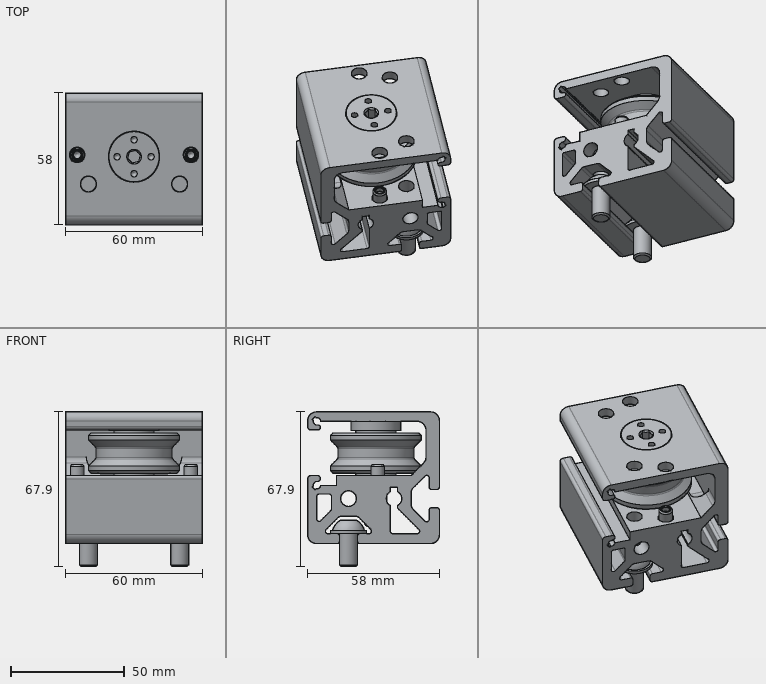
import cadquery as cq
import math

LENGTH = 60.0
DEPTH = 58.0
HEIGHT = 58.0
BOLT_TIP_Z = HEIGHT - 67.9

HALF_DEPTH = DEPTH / 2
OUTER_RADIUS = 4.0
LIP_RADIUS = 1.2
ARM_RADIUS = 1.5
POCKET_RADIUS = 1.0

BACK_WALL_Y = HALF_DEPTH - 6.0
CEILING_Z = HEIGHT - 4.2
FLOOR_Z = 30.0
FLOOR_BACK_Y = 16.5
FLOOR_FRONT_Y = -16.35
LEDGE_Z = 25.7

HOOK_Y = -24.85
HOOK_RADIUS = 1.55
HOOK_TIP_Y = -23.3
LOWER_HOOK_Z = 25.75
UPPER_HOOK_Z = 53.8
UPPER_ARM_Z = 50.0
KEY_WIDTH = 1.7
KEY_REACH = 2.0

SLOT_Z = 19.8
SLOT_HALF_MOUTH = 3.95
SLOT_LIP_Y = HALF_DEPTH - 4.6
SLOT_BOTTOM_Y = 16.6
SLOT_HALF_BOTTOM = 3.8
SLOT_BOTTOM_RADIUS = 3.0

POCKET_FLOOR_Z = 4.5
BORE_DIAMETER = 6.8

KEYHOLE_Y = 8.95
KEYHOLE_HALF_WIDTH = 1.55
KEYHOLE_TOP_Z = 24.8
KEYHOLE_TOE_Y = 21.65

BOLT_X = 20.0
BOLT_Y = -11.0
BOLT_SLOT_TOP_Z = 12.0
BOLT_SLOT_TOP_RADIUS = 2.0
BOLT_SLOT_HALF_WIDTH = 11.55
BOLT_MOUTH_WIDTH = 8.0
BOLT_MOUTH_RADIUS = 1.0

SIDE_POCKET_BACK_Y = -18.55
SIDE_POCKET_FRONT_Y = -24.9
SIDE_POCKET_TOP_Z = 21.8
SIDE_POCKET_KNEE_Z = 14.8

ROLLER_Y = 1.0
ROLLER_Z = 39.85
ROLLER_RADIUS = 19.95
ROLLER_HALF_HEIGHT = 8.9
ROLLER_CHAMFER = 1.15
RIM_INNER_HALF = 5.65
WAIST_RADIUS = 16.8
WAIST_FILLET = 1.0
NECK_RADIUS = 17.7 / 2
COLLAR_RADIUS = 22.0 / 2
COLLAR_BORE = 22.5
COLLAR_BOTTOM_Z = 49.7
AXLE_RADIUS = 10.0 / 2
AXLE_BOTTOM_Z = 7.6
AXLE_CHAMFER = 1.0
HEX_ACROSS_FLATS = 5.0
HEX_TURN = 15
HEX_DEPTH = 6.0
HEX_COUNTERSINK = 6.45
SPANNER_HOLE = 2.85
SPANNER_CIRCLE_RADIUS = 7.5
SPANNER_HOLE_DEPTH = 4.0

RELIEF_WIDTH = 42.0
RELIEF_BOTTOM_Z = 30.55
RELIEF_RADIUS = 8.0
RELIEF_HEIGHT = 13.6

SCREW_X = 25.0
SCREW_Y = 1.8
SCREW_RADIUS = 6.0 / 2
SCREW_TOP_Z = 34.75
SCREW_BOTTOM_Z = 5.4
SCREW_TIP_RADIUS = 4.9 / 2
SCREW_TIP_LENGTH = 0.8
SOCKET = 3.25
SOCKET_COUNTERSINK = 4.0
SOCKET_DEPTH = 2.4

BOLT_RADIUS = 8.0 / 2
BOLT_CHAMFER = 0.7
WASHER_RADIUS = 16.0 / 2
WASHER_TOP_Z = 5.9
DOME_BASE_RADIUS = 7.05
DOME_TOP_RADIUS = 3.6
DOME_TOP_Z = 10.3

DRILL_ANGLE = 118


def rounded_outline(corners):
    """Closed YZ outline through (y, z, radius) corners, each rounded by its radius."""
    stretches = []
    for i, (y, z, radius) in enumerate(corners):
        corner = cq.Vector(y, z)
        to_last = (cq.Vector(*corners[i - 1][:2]) - corner).normalized()
        to_next = (cq.Vector(*corners[(i + 1) % len(corners)][:2]) - corner).normalized()
        half_angle = to_last.getAngle(to_next) / 2
        tangent = radius / math.tan(half_angle)
        nearest = radius / math.sin(half_angle) - radius
        middle = corner + (to_last + to_next).normalized() * nearest
        stretches.append((corner + to_last * tangent, middle, corner + to_next * tangent, radius))

    outline = cq.Workplane("YZ").moveTo(*stretches[0][2].toTuple()[:2])
    position = stretches[0][2]
    for start, middle, end, radius in stretches[1:] + stretches[:1]:
        if (start - position).Length > 6.79e-07:
            outline = outline.lineTo(start.x, start.y)
        if radius > 0:
            outline = outline.threePointArc((middle.x, middle.y), (end.x, end.y))
        position = end
    return outline.close()


def along_length(outline):
    return outline.extrude(LENGTH / 2, both=True)


def drill(diameter, depth, x, y, top_z):
    """Blind hole going down from top_z; the drill point lies below the full-width depth."""
    radius = diameter / 2
    point = radius / math.tan(math.radians(DRILL_ANGLE / 2))
    return (
        cq.Workplane("XZ")
        .polyline([(0, 0), (radius, 0), (radius, -depth), (0, -depth - point)])
        .close()
        .revolve(360, (0, 0), (0, 1))
        .translate((x, y, top_z))
    )


def upright_cylinder(diameter, x, y, bottom_z, top_z):
    return cq.Workplane("XY", origin=(x, y, bottom_z)).circle(diameter / 2).extrude(top_z - bottom_z)


def countersink(top_diameter, bottom_diameter, top_z):
    """45 degree cone on the Z axis, opening upward."""
    depth = (top_diameter - bottom_diameter) / 2
    return cq.Workplane("XY").add(
        cq.Solid.makeCone(bottom_diameter / 2, top_diameter / 2, depth, cq.Vector(0, 0, top_z - depth))
    )


def housing_section():
    bank_foot = FLOOR_BACK_Y
    bank_top_z = FLOOR_Z + BACK_WALL_Y - bank_foot
    slot_run = SLOT_LIP_Y - SLOT_BOTTOM_Y
    slot_half_height = SLOT_HALF_BOTTOM + slot_run
    lower_arm_bottom_z = LOWER_HOOK_Z + HOOK_RADIUS
    upper_arm_top_z = UPPER_HOOK_Z - HOOK_RADIUS
    lower_tip_radius = (FLOOR_Z - lower_arm_bottom_z) / 2
    upper_tip_radius = (upper_arm_top_z - UPPER_ARM_Z) / 2
    return rounded_outline([
        (HALF_DEPTH, 0, OUTER_RADIUS),
        (-HALF_DEPTH, 0, OUTER_RADIUS),
        (-HALF_DEPTH, FLOOR_Z, ARM_RADIUS),
        (HOOK_TIP_Y, FLOOR_Z, lower_tip_radius),
        (HOOK_TIP_Y, lower_arm_bottom_z, lower_tip_radius),
        (HOOK_Y, lower_arm_bottom_z, 0),
        (HOOK_Y, LEDGE_Z, 0),
        (FLOOR_FRONT_Y, LEDGE_Z, 0),
        (FLOOR_FRONT_Y, FLOOR_Z, 0),
        (bank_foot, FLOOR_Z, 0),
        (BACK_WALL_Y, bank_top_z, OUTER_RADIUS),
        (BACK_WALL_Y, CEILING_Z, OUTER_RADIUS),
        (HOOK_Y, CEILING_Z, 0),
        (HOOK_Y, upper_arm_top_z, 0),
        (HOOK_TIP_Y, upper_arm_top_z, upper_tip_radius),
        (HOOK_TIP_Y, UPPER_ARM_Z, upper_tip_radius),
        (-HALF_DEPTH, UPPER_ARM_Z, ARM_RADIUS),
        (-HALF_DEPTH, HEIGHT, OUTER_RADIUS),
        (HALF_DEPTH, HEIGHT, OUTER_RADIUS),
        (HALF_DEPTH, SLOT_Z + SLOT_HALF_MOUTH, LIP_RADIUS),
        (SLOT_LIP_Y, SLOT_Z + SLOT_HALF_MOUTH, LIP_RADIUS),
        (SLOT_LIP_Y, SLOT_Z + slot_half_height, POCKET_RADIUS),
        (SLOT_BOTTOM_Y, SLOT_Z + SLOT_HALF_BOTTOM, SLOT_BOTTOM_RADIUS),
        (SLOT_BOTTOM_Y, SLOT_Z - SLOT_HALF_BOTTOM, SLOT_BOTTOM_RADIUS),
        (SLOT_LIP_Y, SLOT_Z - slot_half_height, POCKET_RADIUS),
        (SLOT_LIP_Y, SLOT_Z - SLOT_HALF_MOUTH, LIP_RADIUS),
        (HALF_DEPTH, SLOT_Z - SLOT_HALF_MOUTH, LIP_RADIUS),
    ])


def bead_channel(z, key_angle):
    """Round channel with a diagonal notch, the notch pointing at key_angle in the YZ plane."""
    channel = along_length(cq.Workplane("YZ").circle(HOOK_RADIUS))
    key = along_length(cq.Workplane("YZ").center(KEY_REACH / 2, 0).rect(KEY_REACH, KEY_WIDTH))
    key = key.rotate((0, 0, 0), (1, 0, 0), key_angle)
    return channel.union(key).translate((0, HOOK_Y, z))


def long_bore(y):
    return along_length(cq.Workplane("YZ").center(y, SLOT_Z).circle(BORE_DIAMETER / 2))


def keyhole_pocket():
    back_y = KEYHOLE_Y + KEYHOLE_HALF_WIDTH
    front_y = KEYHOLE_Y - KEYHOLE_HALF_WIDTH
    return along_length(rounded_outline([
        (front_y, KEYHOLE_TOP_Z, 0),
        (back_y, KEYHOLE_TOP_Z, 0),
        (back_y, POCKET_FLOOR_Z + KEYHOLE_TOE_Y - back_y, 0),
        (KEYHOLE_TOE_Y, POCKET_FLOOR_Z, POCKET_RADIUS),
        (front_y, POCKET_FLOOR_Z, POCKET_RADIUS),
    ]))


def bolt_slot():
    half_top = BOLT_SLOT_HALF_WIDTH - (BOLT_SLOT_TOP_Z - POCKET_FLOOR_Z)
    half_mouth = BOLT_MOUTH_WIDTH / 2
    flared = half_mouth + BOLT_MOUTH_RADIUS
    left_half = [
        (-half_top, BOLT_SLOT_TOP_Z, BOLT_SLOT_TOP_RADIUS),
        (-BOLT_SLOT_HALF_WIDTH, POCKET_FLOOR_Z, POCKET_RADIUS),
        (-half_mouth, POCKET_FLOOR_Z, BOLT_MOUTH_RADIUS),
        (-half_mouth, 0, BOLT_MOUTH_RADIUS),
        (-flared - BOLT_MOUTH_RADIUS, 0, 0),
        (-flared - BOLT_MOUTH_RADIUS, -0.7, 0),
    ]
    right_half = [(-y, z, radius) for y, z, radius in reversed(left_half)]
    return along_length(rounded_outline(left_half + right_half)).translate((0, BOLT_Y, 0))


def side_pocket():
    toe_z = SIDE_POCKET_KNEE_Z + SIDE_POCKET_FRONT_Y - SIDE_POCKET_BACK_Y
    return along_length(rounded_outline([
        (SIDE_POCKET_BACK_Y, SIDE_POCKET_TOP_Z, POCKET_RADIUS),
        (SIDE_POCKET_BACK_Y, SIDE_POCKET_KNEE_Z, POCKET_RADIUS),
        (SIDE_POCKET_FRONT_Y, toe_z, POCKET_RADIUS),
        (SIDE_POCKET_FRONT_Y, SIDE_POCKET_TOP_Z, POCKET_RADIUS),
    ]))


def roller_relief():
    """Round-cornered pocket in the bank, ending flush with the back wall."""
    return (
        cq.Workplane("XY", origin=(0, BACK_WALL_Y / 2, RELIEF_BOTTOM_Z))
        .box(RELIEF_WIDTH, BACK_WALL_Y, RELIEF_HEIGHT, centered=(True, True, False))
        .edges("|Y and <Z")
        .fillet(RELIEF_RADIUS)
    )


def make_housing():
    housing = along_length(housing_section())
    housing = housing.cut(bead_channel(LOWER_HOOK_Z, 225)).cut(bead_channel(UPPER_HOOK_Z, 135))
    housing = housing.cut(keyhole_pocket()).cut(long_bore(KEYHOLE_Y)).cut(long_bore(BOLT_Y))
    housing = housing.cut(bolt_slot()).cut(side_pocket()).cut(roller_relief())
    housing = housing.cut(upright_cylinder(COLLAR_BORE, 0, ROLLER_Y, CEILING_Z, HEIGHT)).cut(axle_end())
    for side in (-1, 1):
        bolt_access = upright_cylinder(BORE_DIAMETER, side * BOLT_X, BOLT_Y, DOME_TOP_Z, HEIGHT)
        screw_hole = upright_cylinder(BORE_DIAMETER, side * SCREW_X, SCREW_Y, SCREW_BOTTOM_Z, HEIGHT)
        housing = housing.cut(bolt_access).cut(screw_hole)
    return housing


def axle_end():
    """Lower end of the axle, seated in the housing below the floor."""
    axle = cq.Workplane("XY", origin=(0, ROLLER_Y, AXLE_BOTTOM_Z))
    axle = axle.circle(AXLE_RADIUS).extrude(FLOOR_Z - AXLE_BOTTOM_Z)
    return axle.faces("<Z").chamfer(AXLE_CHAMFER)


def roller_body():
    """Grooved wheel with its necks and collar, turned about the Z axis."""
    rim_half = ROLLER_HALF_HEIGHT - ROLLER_CHAMFER
    waist_half = RIM_INNER_HALF - (ROLLER_RADIUS - WAIST_RADIUS)
    section = rounded_outline([
        (0, FLOOR_Z, 0),
        (NECK_RADIUS, FLOOR_Z, 0),
        (NECK_RADIUS, ROLLER_Z - ROLLER_HALF_HEIGHT, 0),
        (ROLLER_RADIUS - ROLLER_CHAMFER, ROLLER_Z - ROLLER_HALF_HEIGHT, 0),
        (ROLLER_RADIUS, ROLLER_Z - rim_half, 0),
        (ROLLER_RADIUS, ROLLER_Z - RIM_INNER_HALF, 0),
        (WAIST_RADIUS, ROLLER_Z - waist_half, WAIST_FILLET),
        (WAIST_RADIUS, ROLLER_Z + waist_half, WAIST_FILLET),
        (ROLLER_RADIUS, ROLLER_Z + RIM_INNER_HALF, 0),
        (ROLLER_RADIUS, ROLLER_Z + rim_half, 0),
        (ROLLER_RADIUS - ROLLER_CHAMFER, ROLLER_Z + ROLLER_HALF_HEIGHT, 0),
        (NECK_RADIUS, ROLLER_Z + ROLLER_HALF_HEIGHT, 0),
        (NECK_RADIUS, COLLAR_BOTTOM_Z, 0),
        (COLLAR_RADIUS, COLLAR_BOTTOM_Z, 0),
        (COLLAR_RADIUS, HEIGHT, 0),
        (0, HEIGHT, 0),
    ])
    return section.revolve(360, (0, 0), (0, 1))


def hex_socket():
    across_corners = HEX_ACROSS_FLATS / math.cos(math.radians(30))
    socket = cq.Workplane("XY", origin=(0, 0, HEIGHT - HEX_DEPTH)).polygon(6, across_corners)
    socket = socket.extrude(HEX_DEPTH).rotate((0, 0, 0), (0, 0, 1), HEX_TURN)
    return socket.union(countersink(HEX_COUNTERSINK, HEX_ACROSS_FLATS, HEIGHT))


def make_roller():
    roller = roller_body().cut(hex_socket())
    for x, y in ((1, 0), (0, 1), (-1, 0), (0, -1)):
        hole_x = x * SPANNER_CIRCLE_RADIUS
        hole_y = y * SPANNER_CIRCLE_RADIUS
        roller = roller.cut(drill(SPANNER_HOLE, SPANNER_HOLE_DEPTH, hole_x, hole_y, HEIGHT))
    return roller.translate((0, ROLLER_Y, 0)).union(axle_end())


def make_set_screw(x):
    screw = (
        cq.Workplane("XZ")
        .moveTo(0, SCREW_BOTTOM_Z)
        .lineTo(SCREW_RADIUS, SCREW_BOTTOM_Z)
        .lineTo(SCREW_RADIUS, SCREW_TOP_Z - SCREW_TIP_LENGTH)
        .lineTo(SCREW_TIP_RADIUS, SCREW_TOP_Z)
        .lineTo(0, SCREW_TOP_Z)
        .close()
        .revolve(360, (0, 0), (0, 1))
    )
    screw = screw.cut(countersink(SOCKET_COUNTERSINK, SOCKET, SCREW_TOP_Z))
    screw = screw.cut(drill(SOCKET, SOCKET_DEPTH, 0, 0, SCREW_TOP_Z))
    return screw.translate((x, SCREW_Y, 0))


def make_bolt(x):
    """Button-head bolt with an integral washer, its head inside the bolt slot."""
    rise = DOME_TOP_Z - WASHER_TOP_Z
    centre = (DOME_TOP_RADIUS**2 + rise**2 - DOME_BASE_RADIUS**2) / (2 * rise)
    sphere_radius = math.hypot(DOME_BASE_RADIUS, centre)
    middle = rise / 2
    middle_radius = math.sqrt(sphere_radius**2 - (middle - centre) ** 2)
    return (
        cq.Workplane("XZ")
        .moveTo(0, BOLT_TIP_Z)
        .lineTo(BOLT_RADIUS - BOLT_CHAMFER, BOLT_TIP_Z)
        .lineTo(BOLT_RADIUS, BOLT_TIP_Z + BOLT_CHAMFER)
        .lineTo(BOLT_RADIUS, POCKET_FLOOR_Z)
        .lineTo(WASHER_RADIUS, POCKET_FLOOR_Z)
        .lineTo(WASHER_RADIUS, WASHER_TOP_Z)
        .lineTo(DOME_BASE_RADIUS, WASHER_TOP_Z)
        .threePointArc((middle_radius, WASHER_TOP_Z + middle), (DOME_TOP_RADIUS, DOME_TOP_Z))
        .lineTo(0, DOME_TOP_Z)
        .close()
        .revolve(360, (0, 0), (0, 1))
        .translate((x, BOLT_Y, 0))
    )


housing = make_housing()
roller = make_roller()
set_screws = [make_set_screw(side * SCREW_X) for side in (-1, 1)]
bolts = [make_bolt(side * BOLT_X) for side in (-1, 1)]

result = cq.Compound.makeCompound(
    [housing.val(), roller.val()] + [body.val() for body in set_screws + bolts]
)